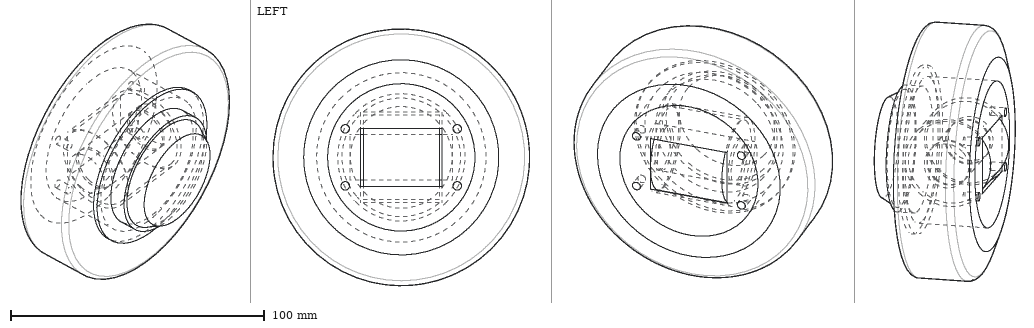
import cadquery as cq
import math

outer_radius = 50.6
front_face_x = 3.0
front_face_radius = 38.5
cone_run = 4.6
front_fillet = 3.0
wheel_back_x = 31.3
back_fillet = 2.0
bore_radius = 29.0

flange_radius = 33.4
flange_thickness = 1.8
pin_radius = 25.1
pin_end_x = 40.0
tip_base_radius = 23.4
tip_end_radius = 20.0
stud_end_x = 46.0

roller_radius = 16.7
roller_length = 30.0
axle_radius = 9.0
axle_length = 40.5
window_width = 32.1
window_height = 22.9

hole_diameter = 3.3
hole_depth = 6.1
hole_spacing_y = 44.1
hole_spacing_z = 22.5

flange_back_x = wheel_back_x + flange_thickness
chamber_radius = math.hypot(roller_radius - front_face_x, window_height / 2)


def turned(profile):
    """Revolve an (x, radius) outline about the X axis."""
    outline = cq.Workplane("XY").polyline(profile).close()
    return outline.revolve(360, (0, 0, 0), (1, 0, 0))


def cylinder_across(radius, length):
    """Cylinder along Y, centred on the roller axis."""
    start_plane = cq.Workplane("XZ", origin=(roller_radius, length / 2, 0))
    return start_plane.circle(radius).extrude(length)


def make_wheel():
    cone_end_x = front_face_x + cone_run
    wheel = turned([
        (front_face_x, bore_radius),
        (front_face_x, front_face_radius),
        (cone_end_x, outer_radius),
        (wheel_back_x, outer_radius),
        (wheel_back_x, bore_radius),
    ])
    rim_edges = cq.selectors.RadiusNthSelector(-1)
    wheel = wheel.faces(">X").edges(rim_edges).fillet(back_fillet)
    return wheel.edges("%CIRCLE").edges(rim_edges).edges("<X").fillet(front_fillet)


def make_stud():
    stud = turned([
        (front_face_x, 0),
        (front_face_x, bore_radius),
        (wheel_back_x, bore_radius),
        (wheel_back_x, flange_radius),
        (flange_back_x, flange_radius),
        (flange_back_x, pin_radius),
        (pin_end_x, pin_radius),
        (pin_end_x, tip_base_radius),
        (stud_end_x, tip_end_radius),
        (stud_end_x, 0),
    ])

    stud = stud.cut(cylinder_across(chamber_radius, window_width))
    stud = stud.cut(cylinder_across(axle_radius, axle_length))

    holes = (
        cq.Workplane("YZ", origin=(front_face_x, 0, 0))
        .rect(hole_spacing_y, hole_spacing_z, forConstruction=True)
        .vertices().circle(hole_diameter / 2).extrude(hole_depth)
    )
    return stud.cut(holes)


def make_roller():
    roller = cylinder_across(roller_radius, roller_length)
    return roller.cut(cylinder_across(axle_radius, roller_length))


def make_axle():
    return cylinder_across(axle_radius, axle_length)


wheel = make_wheel()
stud = make_stud()
roller = make_roller()
axle = make_axle()

result = cq.Compound.makeCompound([wheel.val(), stud.val(), roller.val(), axle.val()])